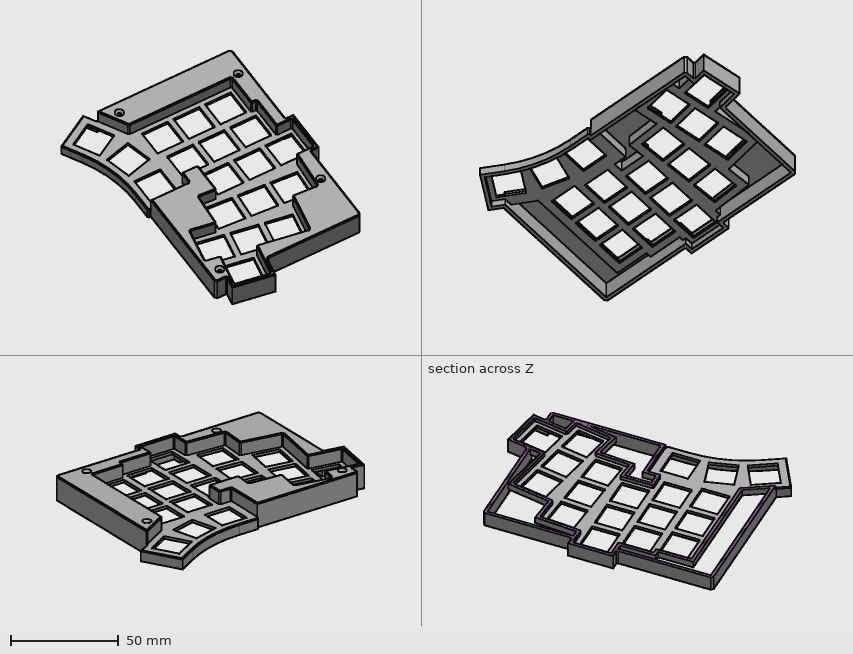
import cadquery as cq
import math


case_height = 12.5
plate_top = 5.6
plate_thickness = 1.5
deck_thickness = 2.0

wall = 1.9
edge_chamfer = 0.5
corner_chamfer = 1.0
pocket_chamfer = 0.5
joint_chamfer = 0.7
clearance = 6.7

box_left = -60.0
box_right = 56.5
box_back = 23.5
box_front = -55.2

switch_hole = 14.0
column_pitch = 17.8
row_pitch = 17.0
half_width = 9.6
half_depth = 8.9
thumb_half_depth = 8.8

countersink_diameter = 4.3
screw_hole = 1.7
countersink_angle = 90
screw_centres = [(-45.7, 18.6), (28.4, 18.6), (-53.9, -40.6), (51.0, -49.6)]


class KeyFrame:
    """A key centre and its turn; maps sideways/upward offsets of that key to X and Y."""

    def __init__(self, x, y, angle):
        self.centre = (x, y)
        self.angle = angle

    def at(self, right, up):
        turn = math.radians(self.angle)
        x = self.centre[0] + right * math.cos(turn) - up * math.sin(turn)
        y = self.centre[1] + right * math.sin(turn) + up * math.cos(turn)
        return (x, y)

    def key(self, right, up):
        return KeyFrame(*self.at(right, up), self.angle)


index_inner = KeyFrame(-2 * column_pitch, -11.2, 0)
index = KeyFrame(-column_pitch, -8.4, 0)
middle = KeyFrame(0, 0, 0)
ring = KeyFrame(19.5, -10.0, -4)
little = KeyFrame(37.8, -25.4, -10)
columns = [index_inner, index, middle, ring, little]

outer_key = little.key(column_pitch, 7.7 - row_pitch)

thumb_radius = 76.1
thumb_step = 15
thumb_first = (-12.9, -46.0)


def thumb_key(place):
    """Thumb key at a place on the arc, counted from the one nearest the fingers."""
    angle = thumb_step * place
    turn = math.radians(angle)
    x = thumb_first[0] - thumb_radius * math.sin(turn)
    y = thumb_first[1] - thumb_radius * (1 - math.cos(turn))
    return KeyFrame(x, y, angle)


thumbs = [thumb_key(i) for i in range(3)]
keys = [column.key(0, row * row_pitch) for column in columns for row in (-1, 0, 1)]
keys += [outer_key] + thumbs

column_end = row_pitch + half_depth


def crossing(frame_a, point_a, along_a, frame_b, point_b, along_b):
    """Crossing of two lines, each through a point of a key frame along that frame's direction."""
    ax, ay = frame_a.at(*point_a)
    bx, by = frame_b.at(*point_b)
    a_end = frame_a.at(point_a[0] + along_a[0], point_a[1] + along_a[1])
    b_end = frame_b.at(point_b[0] + along_b[0], point_b[1] + along_b[1])
    adx, ady = a_end[0] - ax, a_end[1] - ay
    bdx, bdy = b_end[0] - bx, b_end[1] - by
    t = ((bx - ax) * bdy - (by - ay) * bdx) / (adx * bdy - ady * bdx)
    return (ax + t * adx, ay + t * ady)


def side_meets_end(side_frame, side, end_frame, end):
    """Where a line at a column's side meets a line at the end of another column or key."""
    return crossing(side_frame, (side, 0), (0, 1.3), end_frame, (0, end), (1.3, 0))


tongue_left = -8.1
tongue_front = -34.6
tongue_right = thumb_first[0] + half_width + wall


def pocket_outline():
    """Walls of the key pocket, clockwise from the back left, left open past the thumb cluster."""
    far_thumb = thumbs[-1]
    thumb_end = thumb_half_depth + wall
    thumb_side = half_width + wall + clearance
    clear_front = far_thumb.at(-half_width, -thumb_end)[1] - clearance
    return [
        index_inner.at(-half_width, column_end),
        side_meets_end(index, -half_width, index_inner, column_end),
        index.at(-half_width, column_end),
        side_meets_end(middle, -half_width, index, column_end),
        middle.at(-half_width, column_end),
        middle.at(half_width, column_end),
        side_meets_end(middle, half_width, ring, column_end),
        ring.at(half_width, column_end),
        side_meets_end(ring, half_width, little, column_end),
        little.at(half_width, column_end),
        side_meets_end(little, half_width, outer_key, half_depth),
        outer_key.at(half_width, half_depth),
        outer_key.at(half_width, -half_depth),
        side_meets_end(little, half_width, outer_key, -half_depth),
        little.at(half_width, -column_end),
        little.at(-half_width, -column_end),
        side_meets_end(little, -half_width, ring, -column_end),
        ring.at(-half_width, -column_end),
        side_meets_end(ring, -half_width, middle, -column_end),
        (tongue_left, -column_end),
        (tongue_left, tongue_front),
        (tongue_right, tongue_front),
        (tongue_right, clear_front),
        (far_thumb.at(-thumb_side, 0)[0], clear_front),
        far_thumb.at(-thumb_side, thumb_end),
        side_meets_end(index_inner, -half_width, far_thumb, thumb_end),
    ]


def prism(outline, bottom, top):
    return cq.Workplane("XY").workplane(offset=bottom).polyline(outline).close().extrude(top - bottom)


def chamfer_upright(solid, corner, height):
    """Chamfer the vertical edge whose middle is nearest to a corner point at the given height."""
    nearest = cq.NearestToPointSelector((*corner, height))
    return solid.edges("|Z").edges(nearest).chamfer(joint_chamfer)


def cell(frame, left, right, front, back, top):
    """Upright block over a rectangle of a key frame."""
    corners = [(left, front), (right, front), (right, back), (left, back)]
    return prism([frame.at(*corner) for corner in corners], 0, top)


def body(inset, deck_top, thumb_top):
    """Outer shape of the case, drawn in by an inset and cut off at the given heights."""
    grow = wall - inset
    box_outline = [
        (box_left + inset, box_front + inset),
        (box_right - inset, box_front + inset),
        (box_right - inset, box_back - inset),
        (box_left + inset, box_back - inset),
    ]
    box = prism(box_outline, 0, deck_top)
    if inset == 0:
        box = box.edges("|Z").chamfer(corner_chamfer)
    side = half_width + grow
    middle_column = cell(middle, -side, side, -column_end, column_end + grow, deck_top)
    end = half_depth + grow
    outer_cell = cell(outer_key, -half_width, side, -end, end, deck_top)
    return box.union(middle_column).union(outer_cell).union(thumb_block(grow, thumb_top))


def joint_corners():
    """Inside corners where the middle column and the outer key stand out of the box."""
    side = half_width + wall
    end = half_depth + wall
    return [
        (-side, box_back),
        (side, box_back),
        side_meets_end(middle, box_right, outer_key, end),
        side_meets_end(middle, box_right, outer_key, -end),
    ]


def thumb_block(grow, top):
    """Thumb cluster; its front edge is an arc between the front edges of the end keys."""
    near, centre, far = thumbs
    side = half_width + grow
    end = thumb_half_depth + grow
    block = (
        cq.Workplane("XY")
        .moveTo(*near.at(side, end))
        .lineTo(*near.at(side, -end))
        .lineTo(*near.at(0, -end))
        .threePointArc(centre.at(0, -end), far.at(0, -end))
        .lineTo(*far.at(-side, -end))
        .lineTo(*far.at(-side, end))
        .lineTo(*far.at(0, end))
        .lineTo(*side_meets_end(index_inner, -half_width, far, end))
        .close()
        .extrude(top)
    )
    if grow == 0:
        return block
    block = chamfer_upright(block, near.at(side, -end), 0)
    return block.faces(">Z").edges().chamfer(edge_chamfer)


def cavity(outline):
    """Hollow under the plate and the deck, open below, leaving a wall around the pocket."""
    plate_bottom = plate_top - plate_thickness
    hollow = body(wall, case_height - deck_thickness, plate_bottom)
    pocket_surround = (
        cq.Workplane("XY")
        .workplane(offset=plate_bottom)
        .polyline(outline)
        .close()
        .offset2D(wall, "intersection")
        .extrude(case_height)
    )
    return hollow.cut(pocket_surround)


def switch_cutter(key):
    half = switch_hole / 2
    return cell(key, -half, half, -half, half, case_height)


def build():
    """Cut the pocket, hollow, switch holes and screw holes into the outer shape."""
    outline = pocket_outline()
    pocket = prism(outline, plate_top, case_height + clearance)
    pocket = pocket.edges("|Z").chamfer(pocket_chamfer)
    shell = body(0, case_height, plate_top).cut(pocket)
    for corner in joint_corners():
        shell = chamfer_upright(shell, corner, case_height / 2)
    thumb_wall_corner = side_meets_end(middle, box_left, thumbs[-1], thumb_half_depth + wall)
    shell = chamfer_upright(shell, thumb_wall_corner, case_height)
    shell = shell.faces(">Z").edges().chamfer(edge_chamfer)
    shell = shell.cut(cavity(outline))
    for key in keys:
        shell = shell.cut(switch_cutter(key))
    return (
        shell.faces(">Z")
        .workplane(origin=(0, 0, case_height))
        .pushPoints(screw_centres)
        .cskHole(screw_hole, countersink_diameter, countersink_angle)
    )


result = build()